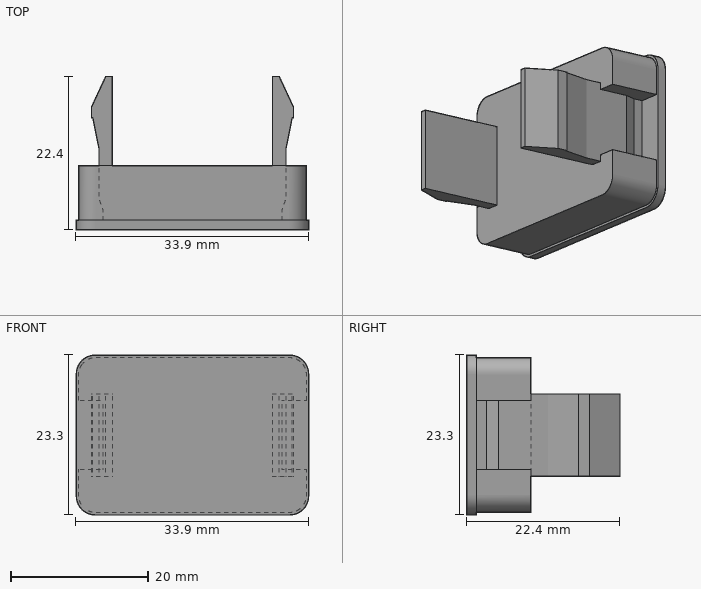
import cadquery as cq

plate_width = 33.85
plate_height = 23.3
plate_thickness = 1.4
plate_corner_radius = 2.78

body_side_inset = 0.35
body_top_inset = 0.37
body_width = plate_width - 2 * body_side_inset
body_height = plate_height - 2 * body_top_inset
body_back = 9.35
body_corner_radius = 2.5

arm_tip = 22.35
arm_height = 12.0
arm_inner = 11.65
arm_thickness = 2.0
arm_outer = arm_inner + arm_thickness
tip_thickness = 0.98
barb_reach = 14.72
barb_step = 0.2
barb_back = 17.85
barb_front = 16.28
ramp_start = 11.88

notch_height = 10.02
root_taper_back = 4.65
root_taper_front = 2.88
root_relief = 0.6


def rounded_block(width, height, radius, front, back):
    """Block centred in X and Z, with rounded edges along Y."""
    return (
        cq.Workplane("XY")
        .box(width, back - front, height)
        .edges("|Y")
        .fillet(radius)
        .translate((0, (front + back) / 2, 0))
    )


def side_prism(points, height):
    """Outline in XY, extruded evenly about Z = 0."""
    return cq.Workplane("XY").polyline(points).close().extrude(height / 2, both=True)


def snap_arm():
    """Arm on the +X side with a tapered barb facing outward."""
    return side_prism(
        [
            (arm_inner, body_back),
            (arm_outer, body_back),
            (arm_outer, ramp_start),
            (barb_reach - barb_step, barb_front),
            (barb_reach, barb_front),
            (barb_reach, barb_back),
            (arm_inner + tip_thickness, arm_tip),
            (arm_inner, arm_tip),
        ],
        arm_height,
    )


def side_notch():
    """Notch on the +X side, deeper next to the plate."""
    return side_prism(
        [
            (plate_width / 2, plate_thickness),
            (arm_outer - root_relief, plate_thickness),
            (arm_outer - root_relief, root_taper_front),
            (arm_outer, root_taper_back),
            (arm_outer, body_back),
            (plate_width / 2, body_back),
        ],
        notch_height,
    )


plate = rounded_block(plate_width, plate_height, plate_corner_radius, 0, plate_thickness)
body = rounded_block(body_width, body_height, body_corner_radius, plate_thickness, body_back)

notch = side_notch()
body = body.cut(notch).cut(notch.mirror("YZ"))

arm = snap_arm()
result = plate.union(body).union(arm).union(arm.mirror("YZ"))